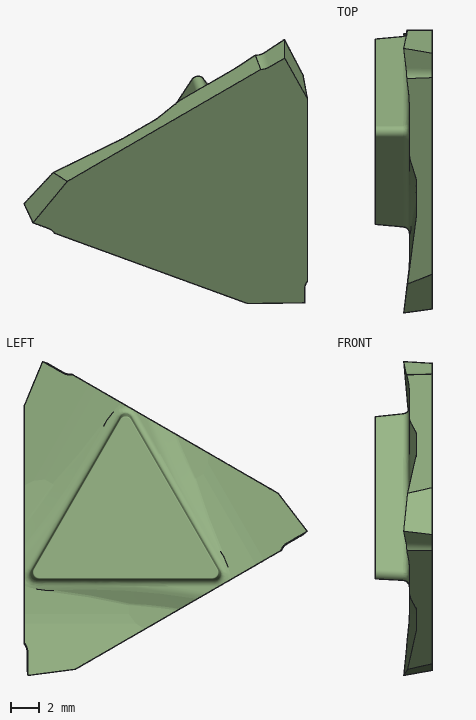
import cadquery as cq
import math

CORNER_COUNT = 3

SIDE_DISTANCE = 7.1
TIP_HEIGHT = 2.0
TIP_X = -6.84
TIP_Y = -10.67
END_ANGLE = 6.6
END_RELIEF = 10.3
FLANK_LEAN = 2.0
FLANK_TOP_Y = -9.03
STEP_RADIUS = 0.95

FLOOR_HEIGHT = 1.1
SIDE_SLOPE = math.tan(math.radians(4.0))
RAKE_SLOPE = math.tan(math.radians(6.0))
RAMP_FOOT_X = 0.22
STRIP_SLOPE = math.tan(math.radians(3.0))
STRIP_INNER_Y = -6.39
STRIP_OUTER_Y = -7.05
LAND_HEIGHT = FLOOR_HEIGHT + SIDE_SLOPE * (RAMP_FOOT_X + SIDE_DISTANCE)

WALL_SLOPE = 0.43
WALL_FOOT_RADIUS = 48.0
WALL_AXIS_X = -3.0
WALL_FOOT_Y = -5.60
CREST_RADIUS = 1.4
WALL_FOOT_FILLET = 0.35
CREST_ANGLE = math.atan(WALL_SLOPE)
CREST_SETBACK = CREST_RADIUS * math.tan(CREST_ANGLE / 2)
CREST_CORNER_RADIUS = WALL_FOOT_RADIUS + (LAND_HEIGHT - FLOOR_HEIGHT) / WALL_SLOPE
CREST_START_RADIUS = CREST_CORNER_RADIUS - CREST_SETBACK * math.cos(CREST_ANGLE)
CREST_START_HEIGHT = LAND_HEIGHT - CREST_SETBACK * math.sin(CREST_ANGLE)
CREST_END_RADIUS = CREST_CORNER_RADIUS + CREST_SETBACK
SPIN_INNER_RADIUS = 33.0
SPIN_ANGLE = 60.0
WALL_FOOT_TOLERANCE = 0.001

TOTAL_HEIGHT = 4.0
BOSS_SIDE_DISTANCE = 3.93
BOSS_ROOT = 0.8
BOSS_CORNER_RADIUS = 0.45
BOSS_TAPER = 3.0
BOSS_TOP_ROUND = 0.07
BOSS_BASE_FILLET = 0.45
FOOT_TOLERANCE = 0.02

REACH = 30.0
OVERSIZE = 1.0


def turned_copies(body):
    """The body at each of the three corners."""
    step = 360 / CORNER_COUNT
    return [body.rotate((0, 0, 0), (0, 0, 1), step * i) for i in range(CORNER_COUNT)]


def triangle(side_distance, z):
    """Equilateral triangle with its left side at x = -side_distance."""
    return cq.Workplane("XY").workplane(offset=z).polygon(3, 4 * side_distance)


def spun_about_wall_axis(profile):
    """Turn a radius-height profile about the cone axis, over the stretch that holds the corner."""
    return (
        profile.revolve(SPIN_ANGLE, (0, 0, 0), (0, 1, 0))
        .rotate((0, 0, 0), (0, 0, 1), 90 - SPIN_ANGLE / 2)
        .translate((WALL_AXIS_X, WALL_FOOT_Y - WALL_FOOT_RADIUS, 0))
    )


def wall_space():
    """Space above the floor, the conical wall and its rounded crest."""
    profile = (
        cq.Workplane("XZ")
        .moveTo(SPIN_INNER_RADIUS, FLOOR_HEIGHT)
        .lineTo(WALL_FOOT_RADIUS, FLOOR_HEIGHT)
        .lineTo(CREST_START_RADIUS, CREST_START_HEIGHT)
        .radiusArc((CREST_END_RADIUS, LAND_HEIGHT), CREST_RADIUS)
        .lineTo(CREST_END_RADIUS, TOTAL_HEIGHT)
        .lineTo(SPIN_INNER_RADIUS, TOTAL_HEIGHT)
        .close()
    )
    return spun_about_wall_axis(profile)


def wall_bank():
    """Floor and unrounded conical wall, carried up to twice the floor height."""
    profile = (
        cq.Workplane("XZ")
        .moveTo(SPIN_INNER_RADIUS, 0)
        .lineTo(SPIN_INNER_RADIUS, FLOOR_HEIGHT)
        .lineTo(WALL_FOOT_RADIUS, FLOOR_HEIGHT)
        .lineTo(WALL_FOOT_RADIUS + FLOOR_HEIGHT / WALL_SLOPE, 2 * FLOOR_HEIGHT)
        .lineTo(WALL_FOOT_RADIUS + FLOOR_HEIGHT / WALL_SLOPE, 0)
        .close()
    )
    return spun_about_wall_axis(profile)


def ramp_prism():
    """Rake, strip and side ramp as one prism, drawn across y and swept down the side slope."""
    start_x = -SIDE_DISTANCE - 2 * OVERSIZE
    start_height = FLOOR_HEIGHT + SIDE_SLOPE * (RAMP_FOOT_X - start_x)
    strip_height = start_height + STRIP_SLOPE * (STRIP_INNER_Y - STRIP_OUTER_Y)
    far_y = -REACH / 2
    far_height = strip_height + RAKE_SLOPE * (STRIP_OUTER_Y - far_y)
    profile = (
        cq.Workplane("YZ", origin=(start_x, 0, 0))
        .moveTo(far_y, 0)
        .lineTo(far_y, far_height)
        .lineTo(STRIP_OUTER_Y, strip_height)
        .lineTo(STRIP_INNER_Y, start_height)
        .lineTo(0, start_height)
        .lineTo(0, 0)
        .close()
    )
    length = REACH / 2
    sweep = cq.Vector(length, 0, -SIDE_SLOPE * length)
    return cq.Workplane(cq.Solid.extrudeLinear(profile.wires().val(), [], sweep))


def is_wall_foot(edge):
    """True for a level arc at floor height, such as the foot of the conical wall."""
    box = edge.BoundingBox()
    level = abs(box.zmin - FLOOR_HEIGHT) < WALL_FOOT_TOLERANCE and box.zlen < WALL_FOOT_TOLERANCE
    return level and edge.geomType() == "CIRCLE"


def corner_ramps():
    """Ramps of one corner, with the small fillet along the foot of the wall below its crest."""
    ramps = ramp_prism()
    joined = ramps.union(wall_bank())
    wall_foot = [edge for edge in joined.edges().vals() if is_wall_foot(edge)]
    filleted = joined.newObject(wall_foot).fillet(WALL_FOOT_FILLET)
    below_crest = cq.Workplane("XY").box(
        2 * REACH, 2 * REACH, CREST_START_HEIGHT, centered=(True, True, False)
    )
    return ramps.union(filleted.intersect(below_crest)).intersect(wall_space())


def boss_side_distance(z):
    """Distance from the centre to a boss side at height z."""
    return BOSS_SIDE_DISTANCE + (TOTAL_HEIGHT - z) * math.tan(math.radians(BOSS_TAPER))


def boss():
    """Tapered triangular boss with rounded corners and a softened top edge."""
    height = TOTAL_HEIGHT - BOSS_ROOT
    return (
        triangle(boss_side_distance(BOSS_ROOT), BOSS_ROOT)
        .extrude(height, taper=BOSS_TAPER)
        .rotate((0, 0, 0), (0, 0, 1), 90)
        .edges("not #Z")
        .fillet(BOSS_CORNER_RADIUS)
        .faces(">Z")
        .edges()
        .fillet(BOSS_TOP_ROUND)
    )


def plate():
    """Plate with its chip-forming surfaces, still with straight oversize sides."""
    side = SIDE_DISTANCE + OVERSIZE
    body = triangle(side, 0).extrude(LAND_HEIGHT)
    stock = triangle(side, 0).extrude(TOTAL_HEIGHT)
    for space in turned_copies(wall_space()):
        body = body.cut(space)
    for ramps in turned_copies(corner_ramps()):
        body = body.union(ramps.intersect(stock))
    return body


def reach_towards_side(point):
    """How far a point lies from the centre, measured square to the nearest boss side."""
    turns = [math.radians(30 + 360 / CORNER_COUNT * i) for i in range(CORNER_COUNT)]
    return max(point.x * math.cos(a) + point.y * math.sin(a) for a in turns)


def is_boss_foot(edge):
    """True for an edge that runs round the boss where it stands on the plate."""
    box = edge.BoundingBox()
    if box.zmin < FLOOR_HEIGHT or box.zmax > LAND_HEIGHT + FOOT_TOLERANCE:
        return False
    inner = boss_side_distance(TOTAL_HEIGHT) - FOOT_TOLERANCE
    outer = boss_side_distance(FLOOR_HEIGHT)
    return all(inner < reach_towards_side(edge.positionAt(t)) < outer for t in (0, 0.5, 1))


def insert_blank():
    """Plate and boss joined with a fillet round the foot of the boss."""
    joined = plate().union(boss())
    foot = [edge for edge in joined.edges().vals() if is_boss_foot(edge)]
    return joined.newObject(foot).fillet(BOSS_BASE_FILLET)


def side_trim():
    """Everything inside the three vertical long sides."""
    return triangle(SIDE_DISTANCE, 0).extrude(TOTAL_HEIGHT)


def end_cutter():
    """Cuts off the corner with an end face that leans in towards the back."""
    return (
        cq.Workplane("XY")
        .box(REACH, REACH, REACH, centered=(True, False, True))
        .translate((0, -REACH, 0))
        .rotate((0, 0, 0), (1, 0, 0), END_RELIEF)
        .rotate((0, 0, 0), (0, 0, 1), END_ANGLE)
        .translate((TIP_X, TIP_Y, TIP_HEIGHT))
    )


def flank_cutter():
    """Sets the flank beside the tip back from the long side, with a hollow at its upper end."""
    return (
        cq.Workplane("XY")
        .moveTo(0, -REACH)
        .lineTo(0, 0)
        .radiusArc((-STEP_RADIUS, STEP_RADIUS), -STEP_RADIUS)
        .lineTo(-REACH, STEP_RADIUS)
        .lineTo(-REACH, -REACH)
        .close()
        .extrude(REACH / 2, both=True)
        .rotate((0, 0, 0), (0, 1, 0), FLANK_LEAN)
        .translate((TIP_X, FLANK_TOP_Y, TIP_HEIGHT))
    )


def insert():
    """Finished insert, lying flat on its back face."""
    body = insert_blank().intersect(side_trim())
    for cutter in (end_cutter(), flank_cutter()):
        for copy in turned_copies(cutter):
            body = body.cut(copy)
    return body


upright = cq.Plane(origin=(0, 0, 0), xDir=(0, -1, 0), normal=(-1, 0, 0))
result = cq.Workplane(insert().val().moved(cq.Location(upright)))